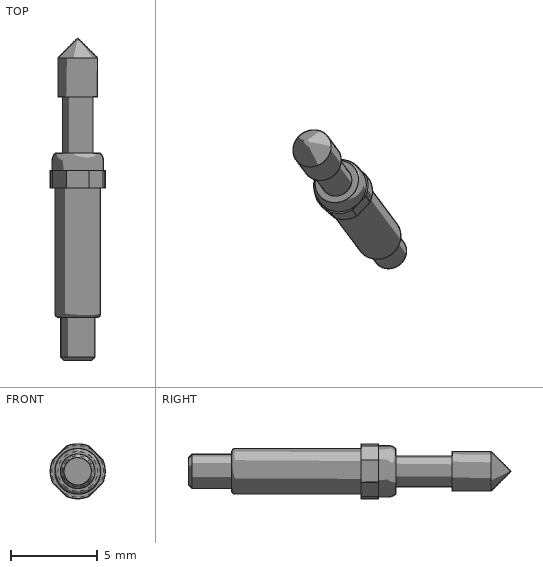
import cadquery as cq
import math

total_length = 18.7
tail_length = 2.5
body_length = 7.5
flange_length = 1.01
collar_length = 1.01
head_length = 2.26

tail_diameter = 2.0
body_diameter = 2.65
flange_diameter = 3.2
collar_diameter = 3.0
stem_diameter = 1.8
head_diameter = 2.3

tail_chamfer = 0.2
body_fillet = 0.2
collar_round_radius = 0.62
collar_round_length = 0.45

flat_count = 4
first_flat_angle = 45.0
flats_across = collar_diameter

tail_end = -total_length / 2
body_start = tail_end + tail_length
flange_start = body_start + body_length
collar_start = flange_start + flange_length
stem_start = collar_start + collar_length
tip_end = total_length / 2
cone_length = head_diameter / 2
cone_start = tip_end - cone_length
head_start = cone_start - head_length


def cylinder_along_y(diameter, start, end):
    """Cylinder on the Y axis between two stations."""
    plane = cq.Plane(origin=(0, start, 0), xDir=(1, 0, 0), normal=(0, 1, 0))
    return cq.Workplane(plane).circle(diameter / 2).extrude(end - start)


def make_flange():
    """Round flange cut by diagonal flats."""
    flange = cylinder_along_y(flange_diameter, flange_start, collar_start)
    middle = (flange_start + collar_start) / 2
    cutter = cq.Workplane("XY").box(flange_diameter, flange_length, flange_diameter)
    cutter = cutter.translate(((flats_across + flange_diameter) / 2, middle, 0))
    for index in range(flat_count):
        angle = first_flat_angle + index * 360 / flat_count
        flange = flange.cut(cutter.rotate((0, 0, 0), (0, 1, 0), angle))
    return flange


def make_collar():
    """Collar whose stem-side edge is a partial arc tangent to its wall."""
    radius = collar_diameter / 2
    round_start = stem_start - collar_round_length

    def arc_radius(distance):
        drop = collar_round_radius - math.sqrt(collar_round_radius**2 - distance**2)
        return radius - drop

    return (
        cq.Workplane("XY")
        .moveTo(0, collar_start)
        .lineTo(radius, collar_start)
        .lineTo(radius, round_start)
        .threePointArc(
            (arc_radius(collar_round_length / 2), round_start + collar_round_length / 2),
            (arc_radius(collar_round_length), stem_start),
        )
        .lineTo(0, stem_start)
        .close()
        .revolve(360, (0, 0, 0), (0, 1, 0))
    )


def make_head():
    """Cylindrical plunger head with a conical point."""
    radius = head_diameter / 2
    return (
        cq.Workplane("XY")
        .moveTo(0, head_start)
        .lineTo(radius, head_start)
        .lineTo(radius, cone_start)
        .lineTo(0, tip_end)
        .close()
        .revolve(360, (0, 0, 0), (0, 1, 0))
    )


tail = cylinder_along_y(tail_diameter, tail_end, body_start).faces("<Y").chamfer(tail_chamfer)
body = cylinder_along_y(body_diameter, body_start, flange_start).faces("<Y").edges().fillet(body_fillet)
stem = cylinder_along_y(stem_diameter, stem_start, head_start)

result = tail.union(body).union(make_flange()).union(make_collar()).union(stem).union(make_head())